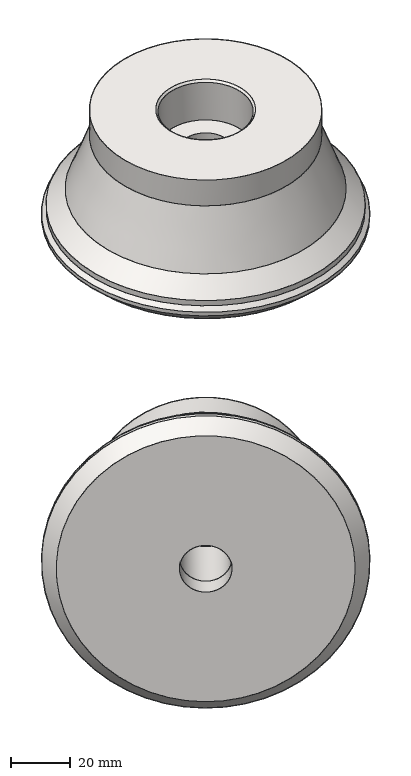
import cadquery as cq

outer_radius = 55.1
total_height = 50.0

base_height = 8.0
base_chamfer = 5.0
base_top_chamfer = 1.5

shoulder_radius = outer_radius - base_top_chamfer
shoulder_height = 2.2
shoulder_chamfer = 6.4
neck_radius = 39.0
neck_height = 10.9
shoulder_top = base_height + shoulder_height
cone_bottom = shoulder_top + shoulder_chamfer
cone_bottom_radius = shoulder_radius - shoulder_chamfer
neck_bottom = total_height - neck_height

hole_radius = 8.8
counterbore_radius = 16.0
counterbore_depth = 16.6
counterbore_chamfer = 0.8
counterbore_floor = total_height - counterbore_depth


def revolve_about_z(profile):
    """Revolve a closed (radius, height) outline around the Z axis."""
    return cq.Workplane("XZ").polyline(profile).close().revolve(360, (0, 0), (0, 1))


def make_base():
    """Bevelled disc with a plain central hole."""
    return revolve_about_z([
        (hole_radius, 0),
        (outer_radius - base_chamfer, 0),
        (outer_radius, base_chamfer),
        (outer_radius, base_height - base_top_chamfer),
        (shoulder_radius, base_height),
        (hole_radius, base_height),
    ])


def make_hub():
    """Conical hub with a counterbored central hole."""
    return revolve_about_z([
        (hole_radius, base_height),
        (shoulder_radius, base_height),
        (shoulder_radius, shoulder_top),
        (cone_bottom_radius, cone_bottom),
        (neck_radius, neck_bottom),
        (neck_radius, total_height),
        (counterbore_radius + counterbore_chamfer, total_height),
        (counterbore_radius, total_height - counterbore_chamfer),
        (counterbore_radius, counterbore_floor),
        (hole_radius, counterbore_floor),
    ])


base = make_base()
hub = make_hub()

result = cq.Compound.makeCompound([base.val(), hub.val()])